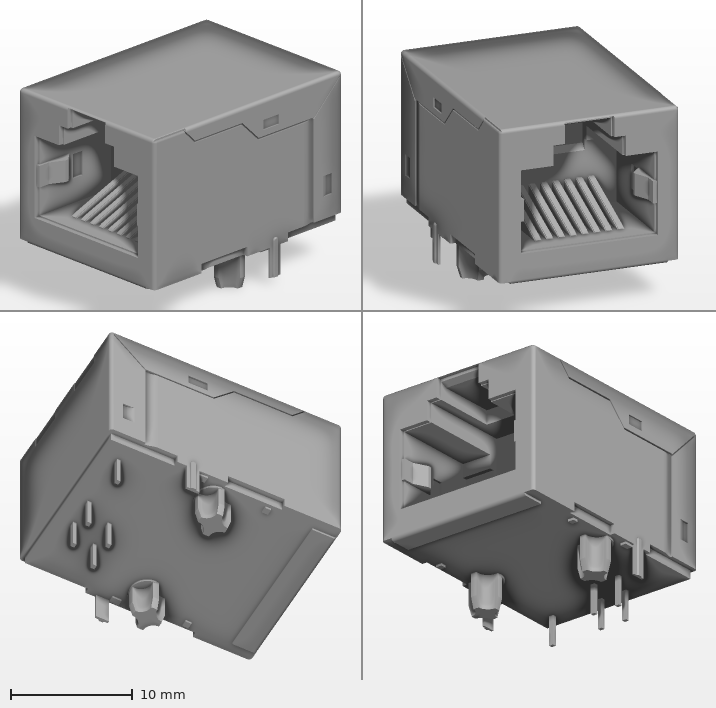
import cadquery as cq


width = 15.95
length = 21.6
height = 13.33
sheet = 0.22
bend_radius = 0.32
front_lip_drop = 0.22
front_lip_length = 2.25
front_lip_width = 13.9
half_width = width / 2

opening_steps = [(6.07, 9.63), (3.22, 11.4), (2.2, 13.22)]
opening_bottom = 2.35
opening_depth = 0.48
liner_step = 0.1
liner_top_step = 0.06

cavity_depth = 8.65
cavity_shoulder_depth = 8.2
cavity_shoulder_z = 8.32
latch_depth = 9.07
latch_sill_z = 7.32
latch_sill_rise = 0.52
key_depth = 6.48
key_ceiling_z = 12.65
key_lead_in_z = 12.95
key_lead_in_length = 0.65

contact_count = 8
contact_row_span = 7.35
contact_width = 0.6
contact_ridge_width = 0.45
contact_ridge_rise = 0.06
contact_tip_y = 2.15
contact_tip_z = 2.7
contact_tip_slope_length = 0.43
contact_end_z = 5.05

spring_bottom = 5.08
spring_top = 7.0
spring_crest_x = 5.1
spring_front_x = 5.72
spring_bend_y = 1.3
spring_crest_y = 2.6
spring_crest_end_y = 2.92
spring_end_y = 3.89
spring_window_start = 4.32
spring_window_end = 5.4
spring_window_bottom = 4.65
spring_window_top = 6.8

seam_width = 0.17
seam_depth = 0.2
seam_low_z = 9.95
seam_high_z = 11.82
seam_step_rear_y = 11.97
seam_step_front_y = 10.09
seam_rise_y = 4.67
rear_flap_y = 18.32
joggle_length = 1.17
joggle_depth = 0.2
flap_bottom = 0.78
rear_foot_y = 21.28
window_length = 1.77
window_height = 0.89
window_depth = 0.15
window_center = (13.44, 11.12)
catch_front_y = 19.38
catch_valley_y = 20.0
catch_back_y = 20.41
catch_bottom = 2.76
catch_top = 4.6
catch_depth = 0.2
top_edge_gap_length = 3.67
top_edge_gap_drop = 0.17

foot_recess = 0.48
rear_recess_front_y = 15.35
middle_recess_y = (5.38, 10.67)
middle_recess_top = 0.85

rear_notch_center_x = 3.37
rear_notch_width = 3.52
rear_notch_depth = 0.13
rear_notch_bottom = 12.1

lock_y = 13.89
lock_width = 1.2
lock_length = 2.7
lock_bead_width = 0.56
lock_bead_bevel = 0.1
lock_bead_round = 0.25
lock_bead_top = 0.8
outer_half_width = 8.1
pin_width = 0.4
pin_thickness = 0.35
pin_length = 2.7
pin_step = 1.27
first_pin_x = -0.63
back_row_y = 19.72
front_row_y = 17.17
back_row_steps = (-4, 0, 2)
front_row_steps = (1, 3)
peg_x = 5.7
peg_y = 10.85
peg_radius = 1.55
peg_tip_radius = 1.25
peg_length = 3.13
peg_taper_length = 1.02
peg_arm_width = 0.56
peg_scoop_radius = 0.97
collar_radius = 1.6

standoff_drop = 0.22
fold_standoff_x = 7.47
fold_standoff_width = 0.56
fold_standoff_y = (12.42, 13.28)
small_standoff_y = (6.22, 6.75)


def box(x_range, y_range, z_range):
    """Axis-aligned box between pairs of limits."""
    size = [limits[1] - limits[0] for limits in (x_range, y_range, z_range)]
    corner = (x_range[0], y_range[0], z_range[0])
    return cq.Workplane("XY").box(*size, centered=False).translate(corner)


def centered_box(half, y_range, z_range):
    return box((-half, half), y_range, z_range)


def side_prism(points, x_start, x_end):
    """Prism along X with an outline given as (y, z)."""
    return cq.Workplane("YZ").workplane(offset=x_start).polyline(points).close().extrude(x_end - x_start)


def plan_prism(points, z_start, z_end):
    """Prism along Z with an outline given as (x, y)."""
    return cq.Workplane("XY").workplane(offset=z_start).polyline(points).close().extrude(z_end - z_start)


def both_sides(shape):
    """The shape together with its mirror image across x = 0."""
    return shape.union(shape.mirror("YZ"))


def shield():
    body = centered_box(half_width, (0, length), (0, height))
    body = body.edges("|Z or >Z").fillet(bend_radius)
    fold = centered_box(front_lip_width / 2, (0, bend_radius), (0, bend_radius))
    lip = centered_box(front_lip_width / 2, (0, front_lip_length), (-front_lip_drop, bend_radius))
    lip = lip.edges("|X and <Y and <Z").fillet(bend_radius)
    return body.cut(fold).union(lip)


def front_opening():
    """Stepped cut through the front sheet."""
    cut = None
    for half, top in opening_steps:
        step = centered_box(half, (0, opening_depth), (opening_bottom, top))
        cut = step if cut is None else cut.union(step)
    return cut


def plug_cavity():
    (main_half, main_top), (latch_half, latch_top), (key_half, _) = [
        (half - liner_step, top - liner_top_step) for half, top in opening_steps
    ]
    floor = opening_bottom + liner_step
    cavity = centered_box(main_half, (0, cavity_depth), (floor, cavity_shoulder_z))
    shoulder = centered_box(main_half, (0, cavity_shoulder_depth), (floor, main_top))
    latch = side_prism(
        [
            (0, latch_sill_z),
            (cavity_depth, latch_sill_z),
            (latch_depth, latch_sill_z + latch_sill_rise),
            (latch_depth, latch_top),
            (0, latch_top),
        ],
        -latch_half,
        latch_half,
    )
    key = side_prism(
        [
            (0, main_top),
            (key_depth, main_top),
            (key_depth, key_ceiling_z),
            (opening_depth + key_lead_in_length, key_ceiling_z),
            (opening_depth, key_lead_in_z),
            (0, key_lead_in_z),
        ],
        -key_half,
        key_half,
    )
    return cavity.union(shoulder).union(latch).union(key)


def contact_bar(bar_width, rise):
    """One contact, sloping up towards the back, with its upper outline raised by `rise`."""
    root_z = opening_bottom - sheet
    outline = [
        (contact_tip_y, root_z),
        (contact_tip_y, opening_bottom + liner_step + rise),
        (contact_tip_y + contact_tip_slope_length, contact_tip_z + rise),
        (cavity_depth + sheet, contact_end_z + rise),
        (cavity_depth + sheet, root_z),
    ]
    return side_prism(outline, -bar_width / 2, bar_width / 2)


def contacts():
    contact = contact_bar(contact_width, 0).union(contact_bar(contact_ridge_width, contact_ridge_rise))
    pitch = contact_row_span / (contact_count - 1)
    row = contact.translate((-contact_row_span / 2, 0, 0))
    for index in range(1, contact_count):
        row = row.union(contact.translate((index * pitch - contact_row_span / 2, 0, 0)))
    return row


def grounding_springs():
    wall_x = opening_steps[0][0] - liner_step
    anchor_x = wall_x + sheet
    spring = plan_prism(
        [
            (anchor_x, sheet),
            (spring_front_x, sheet),
            (spring_front_x, spring_bend_y),
            (spring_crest_x, spring_crest_y),
            (spring_crest_x, spring_crest_end_y),
            (wall_x, spring_end_y),
            (anchor_x, spring_end_y),
        ],
        spring_bottom,
        spring_top,
    )
    return both_sides(spring)


def spring_windows():
    wall_x = opening_steps[0][0] - liner_step
    window = box(
        (wall_x, wall_x + sheet),
        (spring_window_start, spring_window_end),
        (spring_window_bottom, spring_window_top),
    )
    return both_sides(window)


def seams():
    """Zigzag gap between the top cover and the side sheets."""
    lower_edge = [
        (length - bend_radius, height - bend_radius - seam_width),
        (rear_flap_y, seam_low_z),
        (seam_step_rear_y, seam_low_z),
        (seam_step_front_y, seam_high_z),
        (seam_rise_y, seam_high_z),
        (top_edge_gap_length - seam_width, height - bend_radius),
    ]
    upper_edge = [(y, z + seam_width) for y, z in lower_edge]
    gap = side_prism(lower_edge + upper_edge[::-1], half_width - seam_depth, half_width)
    top_gap = box(
        (half_width - seam_depth, half_width),
        (0, top_edge_gap_length),
        (height - top_edge_gap_drop, height),
    )
    return both_sides(gap.union(top_gap))


def joggles():
    """Side sheet bent inwards under the front edge of the rear flap."""
    half_length = joggle_length / 2
    half_depth = joggle_depth / 2
    radius = (half_length**2 + half_depth**2) / (2 * half_depth)
    bend = (
        cq.Workplane("XY")
        .workplane(offset=flap_bottom)
        .moveTo(half_width, rear_flap_y)
        .lineTo(half_width - joggle_depth, rear_flap_y)
        .radiusArc((half_width - half_depth, rear_flap_y - half_length), -radius)
        .radiusArc((half_width, rear_flap_y - joggle_length), radius)
        .close()
        .extrude(seam_low_z - flap_bottom)
    )
    return both_sides(bend)


def side_windows():
    center_y, center_z = window_center
    window = box(
        (half_width - window_depth, half_width),
        (center_y - window_length / 2, center_y + window_length / 2),
        (center_z - window_height / 2, center_z + window_height / 2),
    )
    catch = plan_prism(
        [
            (half_width, catch_front_y),
            (half_width - catch_depth, catch_valley_y),
            (half_width - catch_depth, catch_back_y),
            (half_width, catch_back_y),
        ],
        catch_bottom,
        catch_top,
    )
    return both_sides(window.union(catch))


def lower_cutouts():
    rear_side = box((half_width - foot_recess, half_width), (rear_recess_front_y, length), (0, flap_bottom))
    middle = box((half_width - foot_recess, half_width), middle_recess_y, (0, middle_recess_top))
    rear = centered_box(half_width, (rear_foot_y, length), (0, flap_bottom))
    return both_sides(rear_side.union(middle)).union(rear)


def rear_notches():
    notch = box(
        (rear_notch_center_x - rear_notch_width / 2, rear_notch_center_x + rear_notch_width / 2),
        (length - rear_notch_depth, length),
        (rear_notch_bottom, height),
    )
    return both_sides(notch)


def board_locks():
    blade = box(
        (half_width - sheet, half_width),
        (lock_y - lock_width / 2, lock_y + lock_width / 2),
        (-lock_length, sheet),
    )
    bead = box(
        (half_width - sheet, outer_half_width),
        (lock_y - lock_bead_width / 2, lock_y + lock_bead_width / 2),
        (-lock_length, lock_bead_top),
    )
    bead = bead.edges("|X and >Z").fillet(lock_bead_round)
    bead = bead.faces(">X").edges("not <Z").chamfer(lock_bead_bevel)
    return both_sides(blade.union(bead))


def pins():
    places = [(step, back_row_y) for step in back_row_steps]
    places += [(step, front_row_y) for step in front_row_steps]
    points = [(first_pin_x + step * pin_step, y) for step, y in places]
    return (
        cq.Workplane("XY")
        .workplane(offset=-pin_length)
        .pushPoints(points)
        .rect(pin_width, pin_thickness)
        .extrude(pin_length + sheet)
    )


def pegs():
    """Cross-shaped pegs: tapered cylinders with a round scoop between neighbouring arms."""
    taper_z = peg_taper_length - peg_length
    peg = (
        cq.Workplane("XZ")
        .moveTo(0, sheet)
        .lineTo(peg_radius, sheet)
        .lineTo(peg_radius, taper_z)
        .lineTo(peg_tip_radius, -peg_length)
        .lineTo(0, -peg_length)
        .close()
        .revolve(360, (0, 0, 0), (0, 1, 0))
    )
    arm_half = peg_arm_width / 2
    scoop_center = arm_half + peg_scoop_radius
    outside = 2 * peg_radius
    for angle in (0, 90, 180, 270):
        scoop = (
            cq.Workplane("XY")
            .workplane(offset=-peg_length)
            .moveTo(arm_half, scoop_center)
            .radiusArc((scoop_center, arm_half), -peg_scoop_radius)
            .lineTo(outside, arm_half)
            .lineTo(outside, outside)
            .lineTo(arm_half, outside)
            .close()
            .extrude(peg_length)
            .rotate((0, 0, 0), (0, 0, 1), angle)
        )
        peg = peg.cut(scoop)
    collar = cq.Workplane("XY").circle(collar_radius).extrude(standoff_drop, both=True)
    rear_half = centered_box(collar_radius, (0, collar_radius), (-standoff_drop, standoff_drop))
    collar = collar.intersect(rear_half)
    return both_sides(peg.union(collar).translate((peg_x, peg_y, 0)))


def standoffs():
    x_range = (fold_standoff_x - fold_standoff_width / 2, fold_standoff_x + fold_standoff_width / 2)
    feet = box(x_range, fold_standoff_y, (-standoff_drop, sheet))
    inner_range = [x - fold_standoff_width for x in x_range]
    feet = feet.union(box(inner_range, small_standoff_y, (-standoff_drop, sheet)))
    return both_sides(feet)


result = shield().cut(front_opening()).cut(plug_cavity())
for cut in (spring_windows(), seams(), joggles(), side_windows(), lower_cutouts(), rear_notches()):
    result = result.cut(cut)
for addition in (contacts(), grounding_springs(), board_locks(), pins(), pegs(), standoffs()):
    result = result.union(addition)